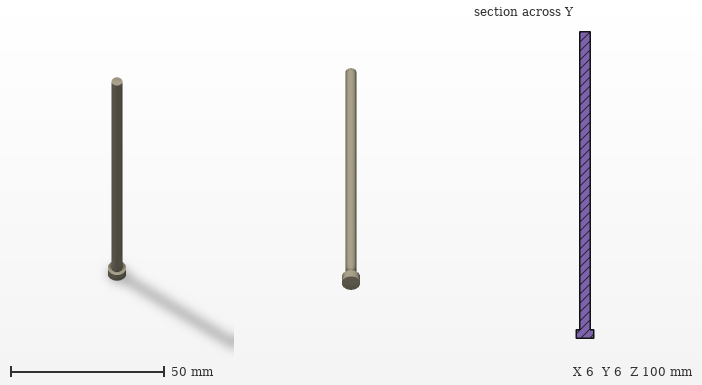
import cadquery as cq

total_length = 100.0
head_diameter = 6.0
head_height = 3.0
shank_diameter = 3.5

head = cq.Workplane("XY").circle(head_diameter / 2).extrude(head_height)

shank = cq.Workplane("XY").circle(shank_diameter / 2).extrude(total_length)

result = head.union(shank)